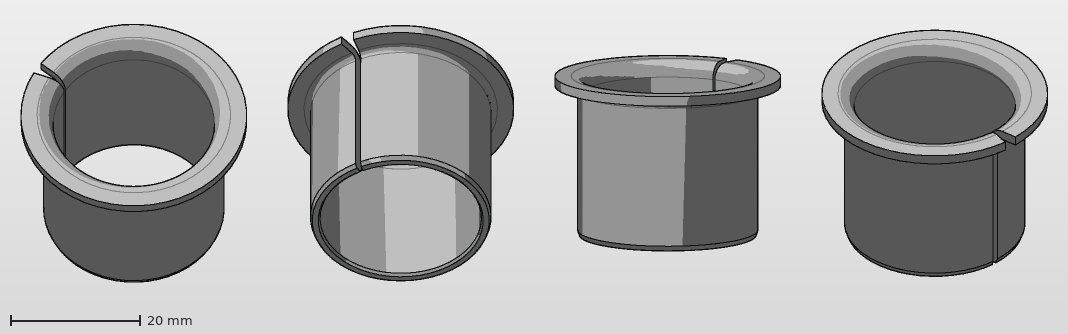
import cadquery as cq
import math

flange_diameter = 34.98
height = 25.0
bore_diameter = 24.98
wall = 1.5
mouth_radius = 2.5
outer_chamfer_height = 0.8
outer_chamfer_angle = 20.0
inner_chamfer_height = 0.5
inner_chamfer_width = 0.28
slit_angle = 20.0
slit_width_at_bore = 0.35
slit_clearance = 1.75

flange_radius = flange_diameter / 2
bore_radius = bore_diameter / 2
sleeve_radius = bore_radius + wall
neck_radius = mouth_radius - wall
outer_chamfer_width = outer_chamfer_height * math.tan(math.radians(outer_chamfer_angle))
bend_center_radius = bore_radius + mouth_radius
bend_center_height = height - mouth_radius
diagonal = math.sqrt(0.5)


def bend_midpoint(radius):
    """Middle of a quarter arc about the bend center."""
    return (bend_center_radius - radius * diagonal, bend_center_height + radius * diagonal)


def make_flanged_sleeve():
    """Full ring, revolved about Z from its radial section."""
    return (
        cq.Workplane("XZ")
        .moveTo(bore_radius + inner_chamfer_width, 0)
        .lineTo(sleeve_radius - outer_chamfer_width, 0)
        .lineTo(sleeve_radius, outer_chamfer_height)
        .lineTo(sleeve_radius, bend_center_height)
        .threePointArc(bend_midpoint(neck_radius), (bend_center_radius, height - wall))
        .lineTo(flange_radius, height - wall)
        .lineTo(flange_radius, height)
        .lineTo(bend_center_radius, height)
        .threePointArc(bend_midpoint(mouth_radius), (bore_radius, bend_center_height))
        .lineTo(bore_radius, inner_chamfer_height)
        .close()
        .revolve(360, (0, 0, 0), (0, 1, 0))
        .rotate((0, 0, 0), (0, 0, 1), 180)
    )


def make_slit_cutter():
    """Wedge on the -X side, opening outward over the full height."""
    slope = math.tan(math.radians(slit_angle / 2))
    apex_x = -bore_radius + slit_width_at_bore / 2 / slope
    outer_x = -flange_radius - slit_clearance
    outer_half_width = (apex_x - outer_x) * slope
    return (
        cq.Workplane("XY")
        .polyline([(apex_x, 0), (outer_x, outer_half_width), (outer_x, -outer_half_width)])
        .close()
        .extrude(height)
    )


result = make_flanged_sleeve().cut(make_slit_cutter())